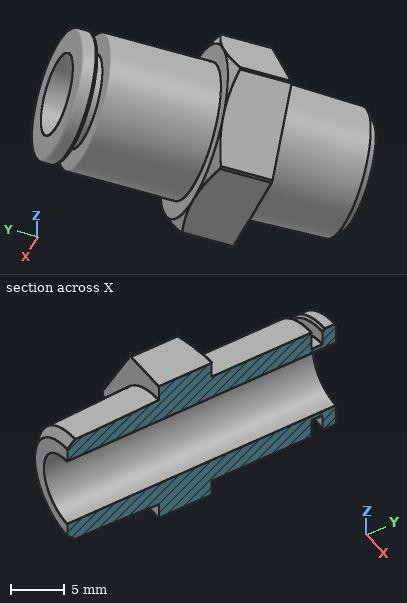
import cadquery as cq
import math

TIP_CHAMFER_END = 0.87
HEX_START = 10.17
HEX_END = 16.1
BODY_END = 27.18
COLLAR_START = 28.35
LENGTH = 29.9

BORE_RADIUS = 4.0
TIP_RADIUS = 5.6
THREAD_SMALL_RADIUS = 6.45
BODY_RADIUS = 6.75
NECK_RADIUS = 4.63
COLLAR_RADIUS = 6.52

HEX_ACROSS_FLATS = 17.0
HEX_ACROSS_CORNERS = 19.5
HEX_CHAMFER_ANGLE = 30.0
HEX_SIDES = 6

COLLAR_CHAMFER = 0.27
COLLAR_FILLET = 0.27
BODY_RIM_FILLET = 0.12


def revolve_about_y(points):
    """Turn a (radius, Y) outline around the Y axis."""
    return cq.Workplane("XY").polyline(points).close().revolve(360, (0, 0, 0), (0, 1, 0))


def threaded_body():
    """Tapered thread and cylindrical body with a rounded +Y rim."""
    body = revolve_about_y([
        (0, 0),
        (TIP_RADIUS, 0),
        (THREAD_SMALL_RADIUS, TIP_CHAMFER_END),
        (BODY_RADIUS, HEX_START),
        (BODY_RADIUS, BODY_END),
        (0, BODY_END),
    ])
    return body.faces(">Y").edges().fillet(BODY_RIM_FILLET)


def release_collar():
    """Neck and collar: chamfered on the body side, rounded at the +Y end."""
    collar = revolve_about_y([
        (0, HEX_END),
        (NECK_RADIUS, HEX_END),
        (NECK_RADIUS, COLLAR_START),
        (COLLAR_RADIUS - COLLAR_CHAMFER, COLLAR_START),
        (COLLAR_RADIUS, COLLAR_START + COLLAR_CHAMFER),
        (COLLAR_RADIUS, LENGTH),
        (0, LENGTH),
    ])
    return collar.faces(">Y").edges().fillet(COLLAR_FILLET)


def hexagon():
    """Hexagon with corners on X, turned to its corner diameter and coned on its +Y face."""
    sharp_diameter = HEX_ACROSS_FLATS / math.cos(math.pi / HEX_SIDES)
    prism = (
        cq.Workplane("XZ", origin=(0, HEX_START, 0))
        .polygon(HEX_SIDES, sharp_diameter)
        .extrude(HEX_START - HEX_END)
    )
    corner_radius = HEX_ACROSS_CORNERS / 2
    face_radius = HEX_ACROSS_FLATS / 2
    cone_depth = (corner_radius - face_radius) * math.tan(math.radians(HEX_CHAMFER_ANGLE))
    envelope = revolve_about_y([
        (0, HEX_START),
        (corner_radius, HEX_START),
        (corner_radius, HEX_END - cone_depth),
        (face_radius, HEX_END),
        (0, HEX_END),
    ])
    return prism.intersect(envelope)


bore = cq.Workplane("XZ").circle(BORE_RADIUS).extrude(-LENGTH)

result = threaded_body().union(release_collar()).union(hexagon()).cut(bore)